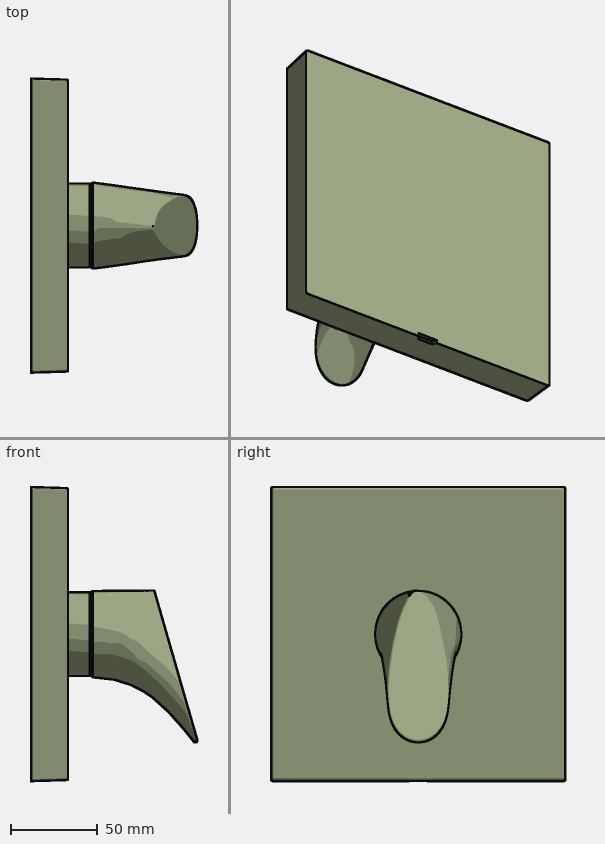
import cadquery as cq
import math

plate_side = 170.0
plate_thickness = 21.5
plate_draft = 1.8
plate_corner_radius = 1.4
plate_front_fillet = 1.2

notch_width = 13.0
notch_inner_width = 9.5
notch_depth = 2.5
notch_height = 2.0

neck_radius = 24.3
neck_end = 33.8

collar_length = 1.2
lever_start = neck_end + collar_length
lever_radius = 25.0
base_chamfer = lever_radius - neck_radius
face_top_x = 71.2
face_tip_x = 97.8
face_tip_z = -67.2
face_half_width = 17.7
face_egg_skew = 0.32
face_fillet = 1.2
lever_sections = 7
points_per_section = 16

underside = [
    (lever_start, -lever_radius),
    (62.9, -25.5),
    (76.8, -39.5),
    (face_tip_x, face_tip_z),
]


def make_plate():
    plate = (
        cq.Workplane("YZ")
        .rect(plate_side, plate_side)
        .extrude(plate_thickness, taper=plate_draft)
        .edges("not(|Y or |Z)")
        .fillet(plate_corner_radius)
        .faces(">X").edges()
        .fillet(plate_front_fillet)
    )
    return plate.cut(make_notch())


def make_notch():
    bottom = -plate_side / 2
    return (
        cq.Workplane("XY", origin=(0, 0, bottom))
        .polyline([
            (0, -notch_width / 2),
            (notch_depth, -notch_inner_width / 2),
            (notch_depth, notch_inner_width / 2),
            (0, notch_width / 2),
        ])
        .close()
        .extrude(notch_height)
    )


def make_neck():
    return (
        cq.Workplane("YZ", origin=(plate_thickness, 0, 0))
        .circle(neck_radius)
        .extrude(neck_end - plate_thickness)
    )


def underside_point(t):
    """Point (X, Z) on the underside curve, t from 0 at the base to 1 at the tip."""
    weights = [(1 - t) ** 3, 3 * t * (1 - t) ** 2, 3 * t ** 2 * (1 - t), t ** 3]
    x = sum(w * p[0] for w, p in zip(weights, underside))
    z = sum(w * p[1] for w, p in zip(weights, underside))
    return x, z


def lever_section(t):
    """Closed section from the flat top line to the underside: a circle at t = 0, an egg at t = 1."""
    top_x = lever_start + t * (face_top_x - lever_start)
    top_z = lever_radius
    low_x, low_z = underside_point(t)
    half_width = lever_radius + t * (face_half_width - lever_radius)
    skew = t ** 2 * face_egg_skew
    points = []
    for i in range(points_per_section):
        angle = 2 * math.pi * i / points_per_section
        drop = (1 - math.cos(angle + skew * math.sin(angle))) / 2
        points.append(cq.Vector(
            top_x + drop * (low_x - top_x),
            half_width * math.sin(angle),
            top_z + drop * (low_z - top_z),
        ))
    return cq.Wire.assembleEdges([cq.Edge.makeSpline(points, periodic=True)])


def make_handle():
    sections = [lever_section(i / (lever_sections - 1)) for i in range(lever_sections)]
    lever = (
        cq.Workplane(obj=cq.Solid.makeLoft(sections))
        .faces("<X").edges()
        .chamfer(base_chamfer)
        .faces(cq.selectors.NearestToPointSelector((face_tip_x, 0, 0))).edges()
        .fillet(face_fillet)
    )
    collar = (
        cq.Workplane("YZ", origin=(neck_end, 0, 0))
        .circle(neck_radius)
        .extrude(collar_length)
    )
    return lever.union(collar)


plate = make_plate()
neck = make_neck()
handle = make_handle()

result = cq.Compound.makeCompound([plate.val(), neck.val(), handle.val()])